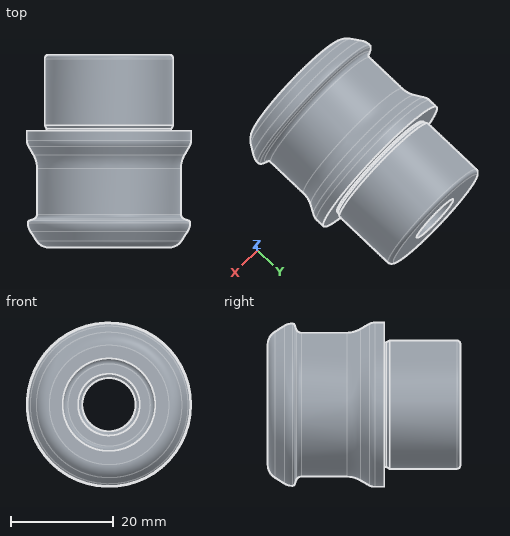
import cadquery as cq
import math

length = 37.5

bead_radius = 31.6 / 2
bead_crest = 4.85
bead_round = 3.0
bead_face_radius = 11.62
bead_back_round = 0.5
bead_back_angle = math.radians(20)

waist_radius = 28.0 / 2
waist_round = 1.0
collar_radius = 32.0 / 2
collar_front = 20.85
collar_back = 22.72
collar_round = 2.25
flare_round = 5.25
flare_angle = math.radians(30)

shank_radius = 25.0 / 2
relief_radius = 12.15
relief_end = 23.1
shank_start = 23.75
shank_round = 0.75

bore_radius = 18.0 / 2
bore_depth = 13.0
bore_floor_round = 1.0
hole_radius = 10.3 / 2
countersink_radius = 6.0
countersink_half_angle = math.radians(60)
countersink_depth = (countersink_radius - hole_radius) / math.tan(countersink_half_angle)


def on_arc(center, radius, angle):
    """Point on an arc; the angle runs from outward (+radius) towards +Y."""
    return (center[0] + radius * math.cos(angle), center[1] + radius * math.sin(angle))


def add_arc(profile, center, radius, start, end):
    """Draw an arc that begins at the current end of the profile."""
    middle = on_arc(center, radius, (start + end) / 2)
    return profile.threePointArc(middle, on_arc(center, radius, end))


def add_line_and_arc(profile, center, radius, start, end):
    """Draw a line to the start of an arc, then the arc itself."""
    profile = profile.lineTo(*on_arc(center, radius, start))
    return add_arc(profile, center, radius, start, end)


def make_body():
    """Solid outer form; profile points are (radius, Y)."""
    quarter = math.pi / 2
    nose_center = (bead_face_radius, bead_round)
    crest_center = (bead_radius - bead_round, bead_crest)
    bead_angle = math.atan2(crest_center[0] - nose_center[0], crest_center[1] - nose_center[1])
    back_center = (bead_radius - bead_back_round, bead_crest)
    back_angle = quarter - bead_back_angle

    waist_center_radius = waist_radius + waist_round
    waist_center_y = (
        bead_crest
        + (bead_back_round + waist_round) / math.cos(bead_back_angle)
        + (back_center[0] - waist_center_radius) * math.tan(bead_back_angle)
    )
    waist_center = (waist_center_radius, waist_center_y)

    collar_center = (collar_radius - collar_round, collar_front)
    flare_center_radius = waist_radius + flare_round
    center_step = flare_center_radius - collar_center[0]
    flare_gap = (
        collar_round + flare_round - center_step * math.cos(flare_angle)
    ) / math.sin(flare_angle)
    flare_center = (flare_center_radius, collar_front - flare_gap)

    profile = cq.Workplane("XY").lineTo(bead_face_radius, 0)
    profile = add_arc(profile, nose_center, bead_round, -quarter, -bead_angle)
    profile = add_line_and_arc(profile, crest_center, bead_round, -bead_angle, 0)
    profile = add_arc(profile, back_center, bead_back_round, 0, back_angle)
    profile = add_line_and_arc(profile, waist_center, waist_round, back_angle - math.pi, -math.pi)
    profile = add_line_and_arc(profile, flare_center, flare_round, math.pi, math.pi - flare_angle)
    profile = add_line_and_arc(profile, collar_center, collar_round, -flare_angle, 0)
    profile = (
        profile.lineTo(collar_radius, collar_back)
        .lineTo(relief_radius, collar_back)
        .lineTo(relief_radius, relief_end)
        .lineTo(shank_radius, shank_start)
    )
    shank_center = (shank_radius - shank_round, length - shank_round)
    profile = add_line_and_arc(profile, shank_center, shank_round, 0, quarter)
    return profile.lineTo(0, length).close().revolve(360, (0, 0), (0, 1))


def make_bore():
    """Round-cornered bore, countersink and through hole as one cutter."""
    floor_center = (bore_radius - bore_floor_round, bore_depth - bore_floor_round)
    profile = cq.Workplane("XY").lineTo(bore_radius, 0)
    profile = add_line_and_arc(profile, floor_center, bore_floor_round, 0, math.pi / 2)
    return (
        profile.lineTo(countersink_radius, bore_depth)
        .lineTo(hole_radius, bore_depth + countersink_depth)
        .lineTo(hole_radius, length)
        .lineTo(0, length)
        .close()
        .revolve(360, (0, 0), (0, 1))
    )


result = make_body().cut(make_bore())